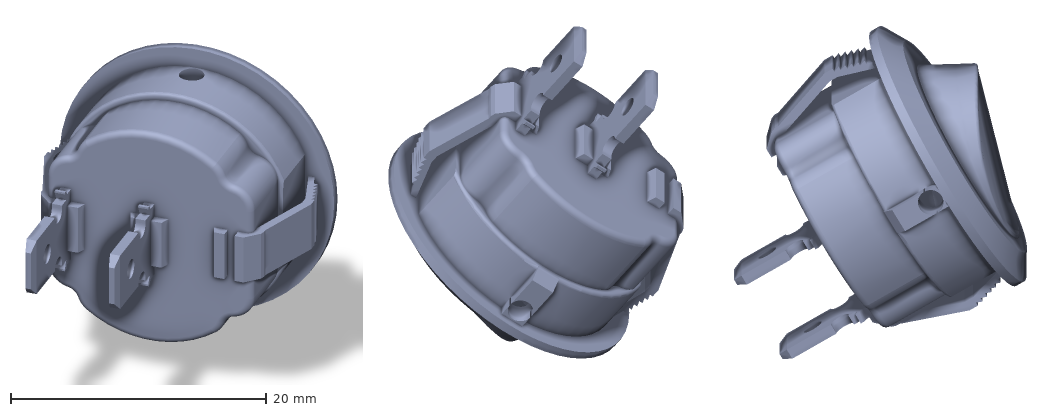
import cadquery as cq
import math


bezel_diameter = 23.0
bezel_front_diameter = 19.08
bezel_rim_thickness = 0.75
bezel_thickness = 1.95

collar_radius = 9.87
collar_depth = 4.87
collar_half_width = 9.07
collar_rear_fillet = 0.3

body_radius = 9.3
body_half_width = 8.62
body_flat_half_height = 3.87
body_rear_y = -10.52
body_rear_fillet = 0.52
corner_end = (6.97, 5.85)
flute_end = (6.15, 6.55)
shoulder_end_x = 5.47

rocker_tilt = 18
rocker_draft = 10.8
rocker_base_radius = 8.12
rocker_height = 10
pivot_y = -1.17
dish_radius = 26.1
dish_center = (-8.97, 28.18)
rocker_edge_fillet = 0.3

pin_diameter = 2
pin_end_z = 8.77
pin_lead_in_offset = 0.17
pin_lead_in_angle = 35

key_bottom_z = -10.72
key_chamfer_length = 0.77
key_chamfer_height = 0.9
key_rear_fillet = 0.25
key_split_gap = 0.15
key_width = 2 * math.sqrt((pin_diameter / 2) ** 2 - (key_split_gap / 2) ** 2)

clip_width = 4
clip_thickness = 0.52
clip_root_x = 9.87
clip_slope = 0.3
clip_peak_x = 11.2
clip_peak_start_y = -3.5
clip_peak_end_y = -4.25
clip_inner_peak_x = 10.42
clip_heel_x = 9.35
clip_heel_start_y = -9.55
clip_heel_end_y = -9.85
clip_toe = (9.22, -10.22)
clip_foot_x = 8.17
tooth_count = 5
tooth_pitch = 0.5
tooth_height = 0.32
first_tooth_y = -1
pad_rear_y = -11.3
pad_reach = 1.6
pad_chamfer = 0.3

terminal_spacing = 7
terminal_thickness = 0.85
terminal_tip_thickness = 0.45
terminal_tip_y = -18.93
terminal_tip_chamfer = 0.77
blade_half_width = 2.37
terminal_hole_diameter = 1.6
terminal_hole_y = -15.8
notch_y = -13.35
notch_radius = 0.8
neck_half_width = 2.67
root_half_width = 3.12
barb_tip = (-11.65, 3.5)
barb_length = 0.27
barb_end_height = 0.15
barb_rise = 0.25
barb_undercut = 0.05

overlap = 0.5


def make_bezel():
    rim_radius = bezel_diameter / 2
    half_section = [
        (0, 0),
        (rim_radius, 0),
        (rim_radius, bezel_rim_thickness),
        (bezel_front_diameter / 2, bezel_thickness),
        (0, bezel_thickness),
    ]
    return cq.Workplane("XY").polyline(half_section).close().revolve(360, (0, 0), (0, 1))


def make_collar():
    round_collar = cq.Workplane("XZ").circle(collar_radius).extrude(collar_depth)
    round_collar = round_collar.faces("<Y").edges().fillet(collar_rear_fillet)
    side_limits = cq.Workplane("XZ").rect(2 * collar_half_width, 2 * collar_radius).extrude(collar_depth)
    return round_collar.intersect(side_limits)


def make_body():
    shoulder_end = (shoulder_end_x, math.sqrt(body_radius ** 2 - shoulder_end_x ** 2))
    half_angle = math.atan2(shoulder_end_x, shoulder_end[1]) / 2
    arc_middle = (body_radius * math.sin(half_angle), body_radius * math.cos(half_angle))
    quarter = (
        cq.Workplane("XZ")
        .lineTo(body_half_width, 0)
        .lineTo(body_half_width, body_flat_half_height)
        .tangentArcPoint(corner_end, relative=False)
        .tangentArcPoint(flute_end, relative=False)
        .tangentArcPoint(shoulder_end, relative=False)
        .threePointArc(arc_middle, (0, body_radius))
        .close()
        .extrude(-body_rear_y)
    )
    half = quarter.union(quarter.mirror("YZ"))
    body = half.union(half.mirror("XY"))
    return body.faces("<Y").edges().fillet(body_rear_fillet)


def make_rocker():
    top_radius = rocker_base_radius - rocker_height * math.tan(math.radians(rocker_draft))
    cone = (
        cq.Workplane("XY")
        .polyline([(0, 0), (rocker_base_radius, 0), (top_radius, rocker_height), (0, rocker_height)])
        .close()
        .revolve(360, (0, 0), (0, 1))
        .rotate((0, 0, 0), (0, 0, 1), rocker_tilt)
        .translate((0, pivot_y, 0))
    )
    dish = cq.Workplane("XY").center(*dish_center).circle(dish_radius).extrude(rocker_base_radius, both=True)
    rocker = cone.cut(dish)
    return rocker.faces(">Y").edges().fillet(rocker_edge_fillet)


def make_pin_hole():
    bore = (
        cq.Workplane("XY", origin=(0, pivot_y, 0))
        .circle(pin_diameter / 2)
        .extrude(bezel_diameter / 2)
    )
    run = pin_diameter
    drop = run * math.tan(math.radians(pin_lead_in_angle))
    void_section = [
        (run, 0),
        (pin_lead_in_offset, 0),
        (pin_lead_in_offset - run, -drop),
        (pin_lead_in_offset - run, run),
        (run, run),
    ]
    void = (
        cq.Workplane("YZ")
        .polyline(void_section)
        .close()
        .extrude(pin_diameter, both=True)
        .rotate((0, 0, 0), (0, 0, 1), rocker_tilt)
        .translate((0, pivot_y, pin_end_z))
    )
    return bore.intersect(void)


def make_key():
    rear_y = -collar_depth
    section = [
        (0, -collar_radius + overlap),
        (0, key_bottom_z),
        (rear_y + key_chamfer_length, key_bottom_z),
        (rear_y, key_bottom_z + key_chamfer_height),
        (rear_y, -collar_radius + overlap),
    ]
    key = cq.Workplane("YZ").polyline(section).close().extrude(key_width / 2, both=True)
    rear_corner = key.faces("<Y").edges("<Z")
    return rear_corner.fillet(key_rear_fillet)


def clip_outer_x(y):
    return clip_root_x - clip_slope * y


def make_clip():
    outline = [(clip_outer_x(overlap), overlap), (clip_outer_x(first_tooth_y), first_tooth_y)]
    for i in range(tooth_count):
        tip_y = first_tooth_y - i * tooth_pitch
        root_y = tip_y - tooth_pitch
        outline.append((clip_outer_x(tip_y) + tooth_height, tip_y))
        outline.append((clip_outer_x(root_y), root_y))
    outline += [
        (clip_peak_x, clip_peak_start_y),
        (clip_peak_x, clip_peak_end_y),
        (clip_heel_x, clip_heel_start_y),
        (clip_heel_x, clip_heel_end_y),
        clip_toe,
        (clip_foot_x, pad_rear_y),
        (terminal_spacing + terminal_thickness / 2, pad_rear_y),
        (terminal_spacing + terminal_thickness / 2, body_rear_y + overlap),
        (clip_inner_peak_x - (clip_peak_x - clip_heel_x), clip_heel_start_y),
        (clip_inner_peak_x, clip_peak_end_y),
        (clip_inner_peak_x, clip_peak_start_y),
        (clip_outer_x(overlap) - clip_thickness, overlap),
    ]
    return cq.Workplane("XY").polyline(outline).close().extrude(clip_width / 2, both=True)


def make_pad(center_x, side):
    near = terminal_thickness / 2
    far = pad_reach
    section = [
        (near, body_rear_y + overlap),
        (near, pad_rear_y),
        (far - pad_chamfer, pad_rear_y),
        (far, body_rear_y),
        (far, body_rear_y + overlap),
    ]
    outline = [(center_x + side * x, y) for x, y in section]
    return cq.Workplane("XY").polyline(outline).close().extrude(clip_width / 2, both=True)


def make_terminal(center_x):
    root_y = body_rear_y + overlap
    tip_shoulder_y = terminal_tip_y + terminal_tip_chamfer
    barb_y, barb_z = barb_tip
    half_outline = [
        (root_y, 0),
        (root_y, root_half_width),
        (barb_y + barb_rise, root_half_width),
        (barb_y, barb_z),
        (barb_y - barb_length, barb_z),
        (barb_y - barb_length, barb_z - barb_end_height),
        (barb_y + barb_undercut, neck_half_width),
        (notch_y + notch_radius, neck_half_width),
        (notch_y + notch_radius, blade_half_width),
        (tip_shoulder_y, blade_half_width),
        (terminal_tip_y, blade_half_width - terminal_tip_chamfer),
        (terminal_tip_y, 0),
    ]
    half = cq.Workplane("YZ").polyline(half_outline).close().extrude(terminal_thickness / 2, both=True)
    notch = (
        cq.Workplane("YZ")
        .center(notch_y, blade_half_width)
        .circle(notch_radius)
        .extrude(terminal_thickness, both=True)
    )
    half = half.cut(notch)
    hole = (
        cq.Workplane("YZ")
        .center(terminal_hole_y, 0)
        .circle(terminal_hole_diameter / 2)
        .extrude(terminal_thickness, both=True)
    )
    blade = half.union(half.mirror("XY")).cut(hole)
    edge_outline = [
        (-terminal_thickness / 2, root_y),
        (-terminal_thickness / 2, tip_shoulder_y),
        (-terminal_tip_thickness / 2, terminal_tip_y),
        (terminal_tip_thickness / 2, terminal_tip_y),
        (terminal_thickness / 2, tip_shoulder_y),
        (terminal_thickness / 2, root_y),
    ]
    tapered = cq.Workplane("XY").polyline(edge_outline).close().extrude(barb_z, both=True)
    return blade.intersect(tapered).translate((center_x, 0, 0))


result = make_bezel().union(make_collar()).union(make_body()).union(make_rocker()).union(make_key())

pin_hole = make_pin_hole()
result = result.cut(pin_hole).cut(pin_hole.mirror("XY"))

clip = make_clip()
result = result.union(clip).union(clip.mirror("YZ"))

for pad_x, pad_side in [(-terminal_spacing, 1), (0, -1), (0, 1), (terminal_spacing, -1)]:
    result = result.union(make_pad(pad_x, pad_side))

for terminal_x in (-terminal_spacing, 0):
    result = result.union(make_terminal(terminal_x))